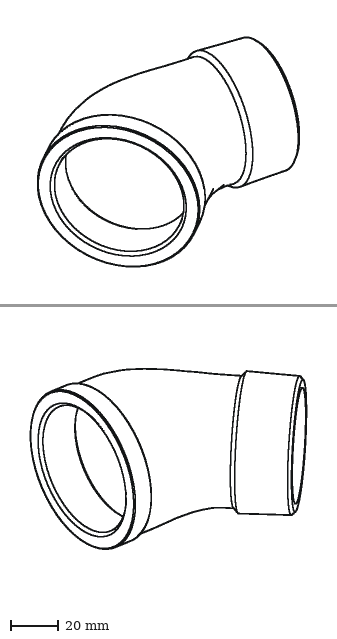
import cadquery as cq
import math

BEND_ANGLE = 45
INLET_LENGTH = 42.1
OUTLET_LENGTH = 58.7

COLLAR_RADIUS = 71.0 / 2
COLLAR_LENGTH = 9.5
COLLAR_CHAMFER = 0.5
BODY_RADIUS = 34.3
BODY_LENGTH = 21.9
BORE_RADIUS = 28.3
BORE_END = 18.6
BORE_CHAMFER = 1.4
RELIEF_RADIUS = 29.5

NECK_START = 28.2
NECK_RADIUS = 28.0
NECK_LENGTH = 4.7
OUTLET_BORE_RADIUS = 24.5
SPIGOT_END_RADIUS = 29.4
SPIGOT_LENGTH = 23.8
SPIGOT_TAPER = 1 / 16
SPIGOT_CHAMFER = 1.4

BEND_STIFFNESS = 42.4
BEND_SECTIONS = 8

bend = math.radians(BEND_ANGLE)
inlet_direction = cq.Vector(0, 1, 0)
outlet_direction = cq.Vector(math.sin(bend), math.cos(bend), 0)
crossing = cq.Vector(0, INLET_LENGTH, 0)
bend_start = cq.Vector(0, BODY_LENGTH, 0)
bend_end = crossing + outlet_direction * NECK_START


def revolve_about_axis(origin, direction, profile):
    """Solid of revolution from (radius, distance along the axis) points."""
    across = direction.cross(cq.Vector(0, 0, 1))
    plane = cq.Plane(origin=origin, xDir=across, normal=across.cross(direction))
    return cq.Workplane(plane).polyline(profile).close().revolve(360, (0, 0), (0, 1))


def bend_loft(start_radius, end_radius):
    """Reducing bend: circles turn evenly along a centreline that is tangent to both axes."""
    circles = []
    for i in range(BEND_SECTIONS + 1):
        s = i / BEND_SECTIONS
        blend = s * s * (3 - 2 * s)
        centre = (
            bend_start * (1 - blend)
            + bend_end * blend
            + inlet_direction * (BEND_STIFFNESS * s * (1 - s) ** 2)
            - outlet_direction * (BEND_STIFFNESS * s * s * (1 - s))
        )
        turn = bend * s
        facing = cq.Vector(math.sin(turn), math.cos(turn), 0)
        radius = start_radius + (end_radius - start_radius) * blend
        plane = cq.Plane(origin=centre, xDir=(0, 0, 1), normal=facing)
        circles.append(cq.Workplane(plane).circle(radius).wires().val())
    return cq.Workplane(cq.Solid.makeLoft(circles))


def inlet_outside():
    collar_edge = COLLAR_RADIUS - COLLAR_CHAMFER
    return revolve_about_axis(cq.Vector(0, 0, 0), inlet_direction, [
        (0, 0),
        (collar_edge, 0),
        (COLLAR_RADIUS, COLLAR_CHAMFER),
        (COLLAR_RADIUS, COLLAR_LENGTH - COLLAR_CHAMFER),
        (collar_edge, COLLAR_LENGTH),
        (BODY_RADIUS, COLLAR_LENGTH),
        (BODY_RADIUS, BODY_LENGTH),
        (0, BODY_LENGTH),
    ])


def inlet_inside():
    relief_start = BORE_END + RELIEF_RADIUS - BORE_RADIUS
    return revolve_about_axis(cq.Vector(0, 0, 0), inlet_direction, [
        (0, 0),
        (BORE_RADIUS + BORE_CHAMFER, 0),
        (BORE_RADIUS, BORE_CHAMFER),
        (BORE_RADIUS, BORE_END),
        (RELIEF_RADIUS, relief_start),
        (RELIEF_RADIUS, BODY_LENGTH),
        (0, BODY_LENGTH),
    ])


def outlet_outside():
    taper_slope = SPIGOT_TAPER / 2
    shoulder = OUTLET_LENGTH - SPIGOT_LENGTH
    shoulder_radius = SPIGOT_END_RADIUS + SPIGOT_LENGTH * taper_slope
    return revolve_about_axis(crossing, outlet_direction, [
        (0, NECK_START),
        (NECK_RADIUS, NECK_START),
        (NECK_RADIUS, NECK_START + NECK_LENGTH),
        (shoulder_radius, shoulder),
        (SPIGOT_END_RADIUS + SPIGOT_CHAMFER * taper_slope, OUTLET_LENGTH - SPIGOT_CHAMFER),
        (SPIGOT_END_RADIUS - SPIGOT_CHAMFER, OUTLET_LENGTH),
        (0, OUTLET_LENGTH),
    ])


def outlet_inside():
    return revolve_about_axis(crossing, outlet_direction, [
        (0, NECK_START),
        (OUTLET_BORE_RADIUS, NECK_START),
        (OUTLET_BORE_RADIUS, OUTLET_LENGTH),
        (0, OUTLET_LENGTH),
    ])


outside = inlet_outside().union(bend_loft(BODY_RADIUS, NECK_RADIUS)).union(outlet_outside())
inside_bend = bend_loft(RELIEF_RADIUS, OUTLET_BORE_RADIUS)
result = outside.cut(inlet_inside()).cut(inside_bend).cut(outlet_inside())